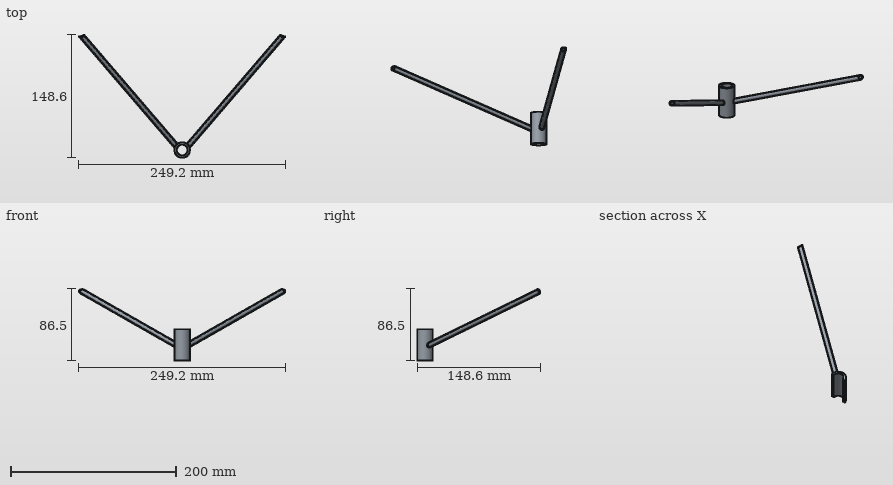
import cadquery as cq
import math

tube_diameter = 19.0
tube_bore = 12.7
tube_height = 38.2

arm_diameter = 6.2
arm_wall = 1.0
arm_root_y = -3.5
arm_root_height = 14.7
arm_tip_x = 120.7
arm_tip_y = 137.2
arm_tip_height = 83.5

cope_diameter = 12.5
cope_bearing = 20
cope_elevation = 16
trim_length = 7.5
cope_length = 50.0


def make_tube():
    """Plain open tube."""
    return cq.Workplane("XY").circle(tube_diameter / 2).circle(tube_bore / 2).extrude(tube_height)


def make_cope(side, tip):
    """Cutting cylinder whose wall passes through the tip of the arm on the given side."""
    bearing = math.radians(cope_bearing)
    elevation = math.radians(cope_elevation)
    facing = cq.Vector(
        side * math.sin(bearing) * math.cos(elevation),
        math.cos(bearing) * math.cos(elevation),
        math.sin(elevation),
    )
    cope_axis = cq.Vector(
        -side * math.sin(bearing) * math.sin(elevation),
        -math.cos(bearing) * math.sin(elevation),
        math.cos(elevation),
    )
    center = tip + facing * (cope_diameter / 2)
    return cq.Workplane(cq.Plane(origin=center, normal=cope_axis)).circle(cope_diameter / 2).extrude(
        cope_length / 2, both=True
    )


def make_arm(side):
    """Hollow arm on one side (+1 or -1), saddle-cut at the tube wall and coped at its tip."""
    root = cq.Vector(0, arm_root_y, arm_root_height)
    tip = cq.Vector(side * arm_tip_x, arm_tip_y, arm_tip_height)
    axis = tip - root
    arm = (
        cq.Workplane(cq.Plane(origin=root, normal=axis))
        .circle(arm_diameter / 2)
        .circle(arm_diameter / 2 - arm_wall)
        .extrude(axis.Length + trim_length)
    )

    tube_envelope = cq.Workplane("XY").circle(tube_diameter / 2).extrude(tube_height)
    return arm.cut(tube_envelope).cut(make_cope(side, tip))


tube = make_tube()
arms = [make_arm(side) for side in (-1, 1)]

result = cq.Compound.makeCompound([tube.val(), *[arm.val() for arm in arms]])